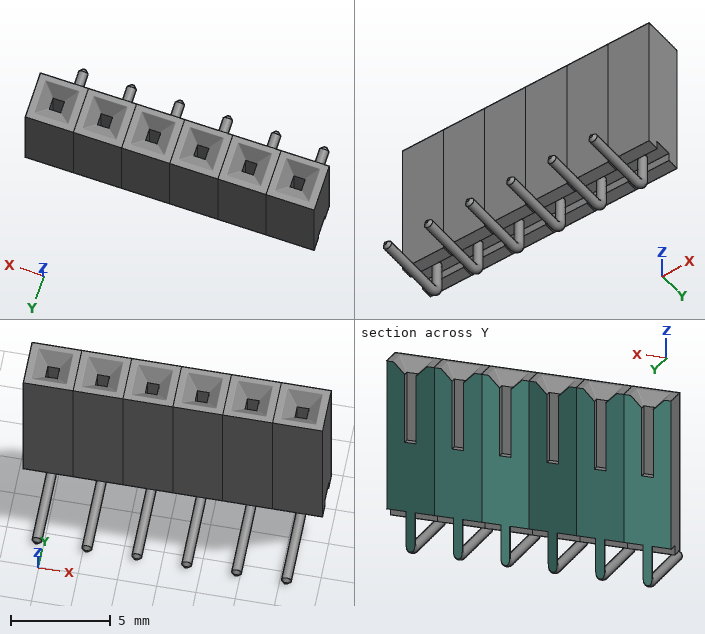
import cadquery as cq

row_length = 15.24
overall_depth = 5.6
overall_height = 10.35

cell_count = 6
pitch = row_length / cell_count

block_depth = 2.4
block_height = 8.5
channel_width = 1.0
channel_height = 0.5

mouth_width = 1.8
hole_width = 0.6
funnel_depth = (mouth_width - hole_width) / 2
socket_depth = block_height / 2
funnel_rounding = 0.05
selection_margin = 0.02

pin_diameter = 0.5
bend_radius = 0.5
pin_reach = overall_depth - block_depth / 2
pin_drop = overall_height - block_height
tip_chamfer = 0.17


def make_block():
    """Upright block with a channel along X through its underside."""
    block = cq.Workplane("XY").box(pitch, block_depth, block_height, centered=(True, True, False))
    channel = cq.Workplane("XY").box(pitch, channel_width, channel_height, centered=(True, True, False))
    return block.cut(channel)


def cut_funnel(block):
    """Cut the funnel into the top and round its rim and its four corner edges."""
    funnel_bottom = block_height - funnel_depth
    funnel = (
        cq.Workplane("XY")
        .workplane(offset=funnel_bottom)
        .rect(hole_width, hole_width)
        .workplane(offset=funnel_depth)
        .rect(mouth_width, mouth_width)
        .loft(ruled=True)
    )
    half_box = mouth_width / 2 + selection_margin
    rim_and_corners = cq.selectors.BoxSelector(
        (-half_box, -half_box, funnel_bottom + selection_margin),
        (half_box, half_box, block_height + selection_margin),
    )
    return block.cut(funnel).edges(rim_and_corners).fillet(funnel_rounding)


def cut_hole(block):
    """Cut the square hole that carries on below the funnel."""
    hole = (
        cq.Workplane("XY")
        .workplane(offset=block_height - socket_depth)
        .rect(hole_width, hole_width)
        .extrude(socket_depth)
    )
    return block.cut(hole)


def make_pin():
    """Round pin that leaves the channel roof, bends and runs out toward -Y."""
    run_z = pin_diameter / 2 - pin_drop
    path = (
        cq.Workplane("YZ")
        .moveTo(0, channel_height)
        .lineTo(0, run_z + bend_radius)
        .tangentArcPoint((-bend_radius, run_z), relative=False)
        .lineTo(-pin_reach, run_z)
    )
    pin = cq.Workplane("XY").workplane(offset=channel_height).circle(pin_diameter / 2).sweep(path)
    return pin.faces("<Y").chamfer(tip_chamfer)


def make_cell():
    """One cell: the block with its socket and its pin, as one solid."""
    block = cut_hole(cut_funnel(make_block()))
    return block.union(make_pin()).solids()


def make_cells():
    """Row of separate cells that touch side by side, centred on x = 0."""
    cell = make_cell()
    first_x = -(cell_count - 1) * pitch / 2
    return [cell.translate((first_x + index * pitch, 0, 0)) for index in range(cell_count)]


cells = make_cells()

result = cq.Compound.makeCompound([cell.val() for cell in cells])